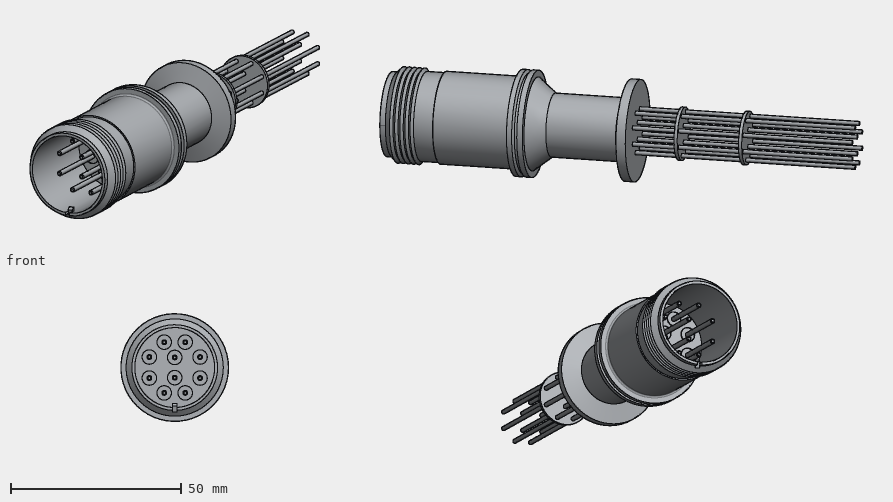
import cadquery as cq
import math

total_length = 141.5

lip_radius = 12.6
lip_length = 1.7
bore_radius = 11.7
bore_depth = 28.3
front_sleeve_radius = 13.3
front_sleeve_end = 16.3
sleeve_radius = 13.7

crest_radius = 14.3
crest_count = 5
first_crest = 3.4
thread_pitch = 1.5

collar_radius = 15.8
collar_start = 39.2
collar_end = 44.0
front_ring_width = 1.5
rear_ring_width = 1.7
collar_groove_radius = 14.9
collar_groove_slope = 0.5
collar_fillet = 0.5

taper_radius = 13.9
neck_radius = 9.5
neck_start = 49.5
flange_radius = 15.1
flange_rear = 75.0
flange_rim_width = 2.8
flange_taper_angle = 15.0

ring_count = 8
contact_ring_radius = 8.0
contact_pair_offset = 3.0
pin_radius = 0.7
pin_tip = 8.5
pin_chamfer = 0.3
seat_radius = 2.1
seat_depth = 0.4

wire_ring_radius = 6.5
wire_pair_offset = 2.5
wire_radius = 0.64
spacer_radius = 7.9
spacer_thickness = 1.0
spacer_centers = (88.4, 108.0)

key_width = 1.4
key_point = 1.7
key_point_radius = 11.3
key_top_radius = 10.6
key_slope_length = 0.7
key_top_length = 0.3
slot_end = 2.3
slot_outer_radius = 13.3


def rod(radius, start, end, x=0.0, z=0.0):
    """Round bar along Y from start to end, centred on (x, z)."""
    plane = cq.Plane(origin=(x, start, z), xDir=(1, 0, 0), normal=(0, 1, 0))
    return cq.Workplane(plane).circle(radius).extrude(end - start)


def contact_places(ring_radius, pair_offset):
    """(x, z) places of the outer ring of contacts and of the inner pair."""
    step = 2 * math.pi / ring_count
    angles = [(i + 0.5) * step for i in range(ring_count)]
    ring = [(ring_radius * math.cos(a), ring_radius * math.sin(a)) for a in angles]
    return ring + [(0.0, pair_offset), (0.0, -pair_offset)]


def make_body():
    """Solid of revolution with the thread, collar, neck and flange."""
    outline = [(0, 0), (lip_radius, 0), (lip_radius, lip_length)]
    for i in range(crest_count):
        crest = first_crest + i * thread_pitch
        outline += [(crest_radius, crest), (front_sleeve_radius, crest + thread_pitch / 2)]

    groove_start = collar_start + front_ring_width
    flange_taper = (flange_radius - neck_radius) * math.tan(math.radians(flange_taper_angle))
    flange_rim_start = flange_rear - flange_rim_width
    outline += [
        (front_sleeve_radius, front_sleeve_end),
        (sleeve_radius, front_sleeve_end),
        (sleeve_radius, collar_start - collar_fillet),
    ]
    profile = cq.Workplane("XY").polyline(outline)
    profile = profile.radiusArc((sleeve_radius + collar_fillet, collar_start), collar_fillet)
    collar_and_flange = [
        (collar_radius, collar_start),
        (collar_radius, groove_start),
        (collar_groove_radius, groove_start + collar_groove_slope),
        (collar_groove_radius, collar_end - rear_ring_width),
        (collar_radius, collar_end - rear_ring_width),
        (collar_radius, collar_end),
        (taper_radius, collar_end),
        (neck_radius, neck_start),
        (neck_radius, flange_rim_start - flange_taper),
        (flange_radius, flange_rim_start),
        (flange_radius, flange_rear),
        (0, flange_rear),
    ]
    for point in collar_and_flange:
        profile = profile.lineTo(*point)
    body = profile.close().revolve(360, (0, 0, 0), (0, 1, 0))
    return body.cut(rod(bore_radius, 0, bore_depth))


def add_pins(body):
    """Contact pins standing on the bore floor, each in a shallow round seat."""
    for x, z in contact_places(contact_ring_radius, contact_pair_offset):
        seat_floor = bore_depth + seat_depth
        pin = rod(pin_radius, pin_tip, seat_floor, x, z).faces("<Y").chamfer(pin_chamfer)
        body = body.cut(rod(seat_radius, bore_depth, seat_floor, x, z)).union(pin)
    return body


def add_wires(body):
    """Straight wires leaving the flange, held by the spacer discs."""
    for center in spacer_centers:
        body = body.union(rod(spacer_radius, center - spacer_thickness / 2, center + spacer_thickness / 2))
    for x, z in contact_places(wire_ring_radius, wire_pair_offset):
        body = body.union(rod(wire_radius, flange_rear - flange_rim_width, total_length, x, z))
    return body


def key_prism(outline):
    """Prism as wide as the key, from (Y, Z) points."""
    return cq.Workplane("YZ").polyline(outline).close().extrude(key_width / 2, both=True)


def add_key(body):
    """Slot through the bottom of the lip, ending in a pointed key that rises into the bore."""
    key_rear = key_point + key_slope_length + key_top_length
    key = key_prism([
        (key_point, -key_point_radius),
        (key_point + key_slope_length, -key_top_radius),
        (key_rear, -key_top_radius),
        (key_rear, -lip_radius),
        (key_point, -lip_radius),
    ])
    slot = key_prism([
        (0, -key_top_radius),
        (key_point, -key_top_radius),
        (key_point, -key_point_radius),
        (slot_end, -slot_outer_radius),
        (0, -slot_outer_radius),
    ])
    return body.union(key).cut(slot)


result = add_key(add_wires(add_pins(make_body())))